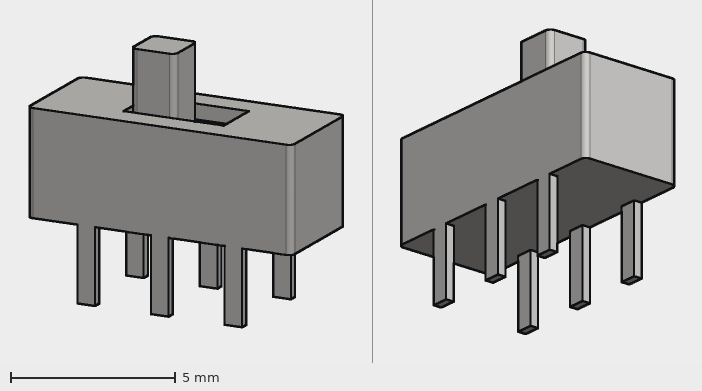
import cadquery as cq

body_length = 9.0
body_width = 3.6
body_height = 3.5
corner_radius = 0.2

slot_length = 3.4
slot_width = 1.7
slot_depth = 0.5

knob_side = 1.5
knob_rise = 2.0
knob_x = -knob_side / 2

pins_per_row = 3
pin_pitch = 2.5
pin_width = 0.6
pin_thickness = 0.3
pin_length = 2.5


def rounded_block(length, width, height):
    """Upright block standing on Z = 0 with rounded vertical edges."""
    block = cq.Workplane("XY").rect(length, width).extrude(height)
    return block.edges("|Z").fillet(corner_radius)


def make_housing():
    housing = rounded_block(body_length, body_width, body_height)
    slot = (
        cq.Workplane("XY")
        .workplane(offset=body_height - slot_depth)
        .rect(slot_length, slot_width)
        .extrude(slot_depth)
    )
    return housing.cut(slot)


def make_knob():
    """Knob standing on the slot floor."""
    knob = rounded_block(knob_side, knob_side, slot_depth + knob_rise)
    return knob.translate((knob_x, 0, body_height - slot_depth))


def make_pins():
    row_spacing = body_width - pin_thickness
    return (
        cq.Workplane("XY")
        .rarray(pin_pitch, row_spacing, pins_per_row, 2)
        .rect(pin_width, pin_thickness)
        .extrude(-pin_length)
    )


result = make_housing().union(make_knob()).union(make_pins())